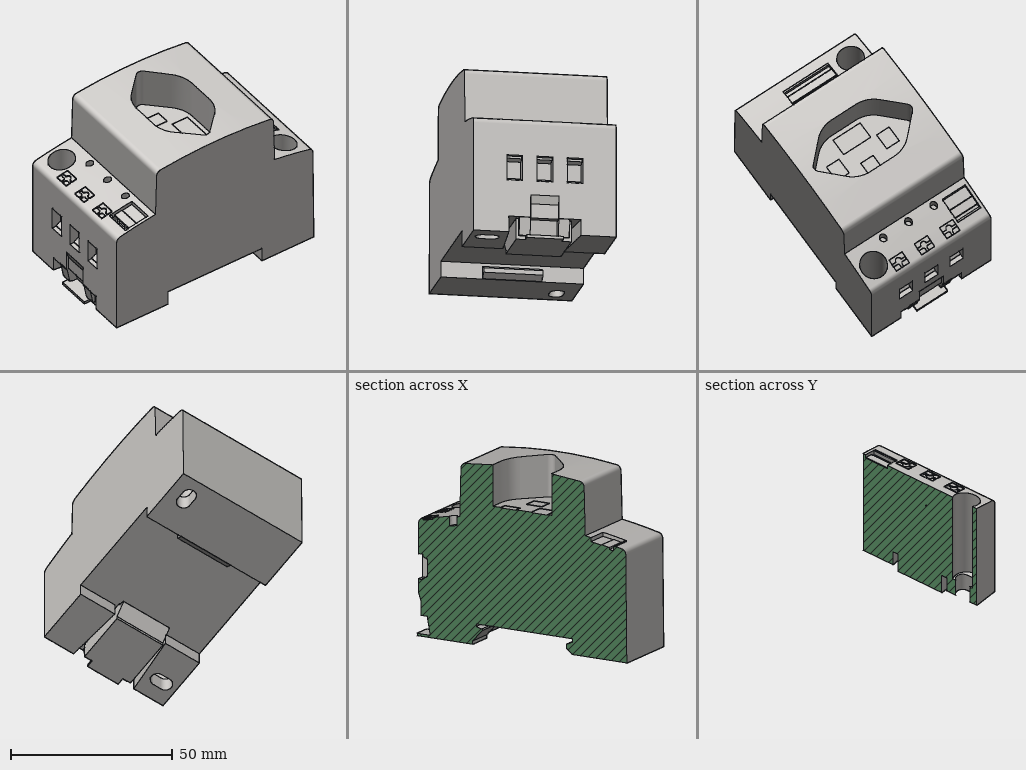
import cadquery as cq
import math


WIDTH = 45.0
FRONT_Y = -37.45
BACK_FOOT_Y = 37.6
BACK_TOP_Y = 37.2
TOWER_BASE_Y = 22.65
TOWER_TOP_Y = 22.2
CROWN_RADIUS = 162.3
TOWER_CROWN_Z = 57.5
SHOULDER_CROWN_Z = 40.5
EDGE_ROUND = 1.9

RAIL_HALF_DEPTH = 17.8
RAIL_HEIGHT = 5.05

OVERLAP = 0.75

SOCKET_HALF_LENGTH = 19.1
SOCKET_HALF_WIDTH = 10.5
SOCKET_TIP_ROUND = 2.0
SOCKET_SIDE_ROUND = 9.8
SOCKET_FLOOR_Z = 43.85
INSERT_DEPTH = 0.15
PIN_SIZE = (4.7, 5.6)
PIN_CENTRES = [(-9.4, 0), (9.4, 0), (0, -5.0)]
SHUTTER_SIZE = (10.2, 5.8)
SHUTTER_CENTRE = (0.1, 6.1)

FRONT_MOUNT = (-16.9, -30.35)
BACK_MOUNT = (16.3, 30.35)
MOUNT_BORE = 8.6
MOUNT_SEAT_Z = 6.05
MOUNT_SLOT_LENGTH = 7.5
MOUNT_SLOT_WIDTH = 4.5

FRONT_LABEL_X = (12.8, 21.4)
BACK_LABEL_X = (-7.1, 9.7)

TERMINAL_PITCH = 9.5
TERMINAL_WIDTH = 4.9
TERMINAL_X = [-TERMINAL_PITCH, 0, TERMINAL_PITCH]

CLIP_HALF_WIDTH = 8.7
CLIP_BOTTOM_Z = -1.65
CLIP_FRONT_Y = -35.3
GRIP_HALF_WIDTH = 4.45


def crown_z(crown, y):
    """Height at depth y of an arch whose highest point is at the crown."""
    return crown - CROWN_RADIUS + math.sqrt(CROWN_RADIUS**2 - y**2)


def shoulder_z(y):
    return crown_z(SHOULDER_CROWN_Z, y)


def extrude_across(outline, x_centre, width):
    """Extrude a closed list of (Y, Z) points along X, centred on x_centre."""
    return (
        cq.Workplane("YZ", origin=(x_centre, 0, 0))
        .polyline(outline)
        .close()
        .extrude(width / 2, both=True)
    )


def make_housing():
    front_mid_y = (FRONT_Y - TOWER_BASE_Y) / 2
    back_mid_y = (BACK_TOP_Y + TOWER_BASE_Y) / 2
    front_edge = (FRONT_Y, shoulder_z(FRONT_Y))
    back_edge = (BACK_TOP_Y, shoulder_z(BACK_TOP_Y))
    tower_top_z = crown_z(TOWER_CROWN_Z, TOWER_TOP_Y)
    tower_base_z = shoulder_z(TOWER_BASE_Y)
    body = (
        cq.Workplane("YZ")
        .moveTo(FRONT_Y, 0)
        .lineTo(*front_edge)
        .threePointArc((front_mid_y, shoulder_z(front_mid_y)), (-TOWER_BASE_Y, tower_base_z))
        .lineTo(-TOWER_TOP_Y, tower_top_z)
        .threePointArc((0, TOWER_CROWN_Z), (TOWER_TOP_Y, tower_top_z))
        .lineTo(TOWER_BASE_Y, tower_base_z)
        .threePointArc((back_mid_y, shoulder_z(back_mid_y)), back_edge)
        .lineTo(BACK_FOOT_Y, 0)
        .lineTo(RAIL_HALF_DEPTH, 0)
        .lineTo(RAIL_HALF_DEPTH, RAIL_HEIGHT)
        .lineTo(-RAIL_HALF_DEPTH, RAIL_HEIGHT)
        .lineTo(-RAIL_HALF_DEPTH, 0)
        .close()
        .extrude(WIDTH / 2, both=True)
    )
    tower_edges = [(-TOWER_TOP_Y, tower_top_z), (TOWER_TOP_Y, tower_top_z)]
    for y, z in [front_edge, back_edge] + tower_edges:
        body = body.edges(cq.selectors.NearestToPointSelector((0, y, z))).fillet(EDGE_ROUND)
    return body


def socket_cutter():
    """Six-sided recess with 45 degree tips, and shallow inserts in its floor."""
    side_half = SOCKET_HALF_LENGTH - SOCKET_HALF_WIDTH
    half_outline = [
        (SOCKET_HALF_LENGTH, 0),
        (side_half, SOCKET_HALF_WIDTH),
        (-side_half, SOCKET_HALF_WIDTH),
    ]
    outline = half_outline + [(-x, -y) for x, y in half_outline]
    recess = (
        cq.Workplane("XY", origin=(0, 0, SOCKET_FLOOR_Z))
        .polyline(outline)
        .close()
        .extrude(TOWER_CROWN_Z + OVERLAP - SOCKET_FLOOR_Z)
    )
    recess = recess.edges("|Z and (>X or <X)").fillet(SOCKET_TIP_ROUND)
    recess = recess.edges("|Z and (>Y or <Y)").fillet(SOCKET_SIDE_ROUND)
    floor = cq.Workplane("XY", origin=(0, 0, SOCKET_FLOOR_Z))
    pins = floor.pushPoints(PIN_CENTRES).rect(*PIN_SIZE).extrude(-INSERT_DEPTH)
    shutter = floor.center(*SHUTTER_CENTRE).rect(*SHUTTER_SIZE).extrude(-INSERT_DEPTH)
    return recess.union(pins).union(shutter)


def mount_cutter(x, y, slot_angle):
    base = cq.Workplane("XY").center(x, y)
    slot = base.slot2D(MOUNT_SLOT_LENGTH, MOUNT_SLOT_WIDTH, slot_angle).extrude(MOUNT_SEAT_Z + OVERLAP)
    bore = (
        base.workplane(offset=MOUNT_SEAT_Z)
        .circle(MOUNT_BORE / 2)
        .extrude(SHOULDER_CROWN_Z - MOUNT_SEAT_Z)
    )
    return slot.union(bore)


def label_cutter(x_left, x_right, side):
    """Label window in a shoulder (side -1 front, +1 back) with a stepped, sloping floor."""
    inner, middle, ridge, trench, outer = 24.75, 28.4, 31.3, 32.7, 33.3
    inner_depth, ridge_depth, trench_depth, lip_depth = 1.3, 1.1, 1.7, 0.2
    step_run = 0.2
    floor_steps = [
        (inner, inner_depth),
        (middle, inner_depth),
        (middle + step_run, ridge_depth),
        (ridge, ridge_depth),
        (ridge, trench_depth),
        (trench, trench_depth),
        (trench, lip_depth),
        (outer, lip_depth),
    ]
    outline = [(side * y, shoulder_z(y) - depth) for y, depth in floor_steps]
    outline += [(side * outer, SHOULDER_CROWN_Z), (side * inner, SHOULDER_CROWN_Z)]
    return extrude_across(outline, (x_left + x_right) / 2, x_right - x_left)


def test_hole_cutter(x):
    """Slightly oval blind hole whose floor bends down towards the front."""
    hole_y, half_width, half_length = -24.9, 1.1, 1.3
    back_y, bend_y, near_y = -23.4, -25.35, -26.4
    depth, bend_drop = 3.0, 0.15
    floor_outline = [
        (back_y, shoulder_z(back_y) - depth),
        (bend_y, shoulder_z(bend_y) - depth),
        (near_y, shoulder_z(near_y) - depth - bend_drop),
        (near_y, SHOULDER_CROWN_Z),
        (back_y, SHOULDER_CROWN_Z),
    ]
    hole = cq.Workplane("XY").center(x, hole_y).ellipse(half_width, half_length).extrude(SHOULDER_CROWN_Z)
    return hole.intersect(extrude_across(floor_outline, x, 2 * (half_width + OVERLAP)))


def screw_cutter(x):
    """Shallow terminal window whose floor carries a deeper T-shaped groove."""
    back_y, near_y = -31.6, -35.6
    window_depth, groove_depth = 0.3, 0.7
    bar_top_y, bar_bottom_y = -33.2, -34.05
    arch_radius, stem_half, corner_round = 1.0, 0.4, 0.6
    half = TERMINAL_WIDTH / 2

    def below_surface(depth):
        outline = [(y, shoulder_z(y) - depth) for y in (back_y, near_y)]
        outline += [(near_y, SHOULDER_CROWN_Z), (back_y, SHOULDER_CROWN_Z)]
        return extrude_across(outline, x, TERMINAL_WIDTH)

    arc_offset = corner_round * (1 - math.sqrt(0.5))
    groove = (
        cq.Workplane("XY", origin=(x, 0, 0))
        .moveTo(-half, bar_top_y)
        .lineTo(-arch_radius, bar_top_y)
        .threePointArc((0, bar_top_y + arch_radius), (arch_radius, bar_top_y))
        .lineTo(half, bar_top_y)
        .lineTo(half, bar_bottom_y)
        .lineTo(stem_half + corner_round, bar_bottom_y)
        .threePointArc(
            (stem_half + arc_offset, bar_bottom_y - arc_offset),
            (stem_half, bar_bottom_y - corner_round),
        )
        .lineTo(stem_half, near_y)
        .lineTo(-stem_half, near_y)
        .lineTo(-stem_half, bar_bottom_y - corner_round)
        .threePointArc(
            (-stem_half - arc_offset, bar_bottom_y - arc_offset),
            (-stem_half - corner_round, bar_bottom_y),
        )
        .lineTo(-half, bar_bottom_y)
        .close()
        .extrude(SHOULDER_CROWN_Z)
    )
    return below_surface(window_depth).union(groove.intersect(below_surface(groove_depth)))


def wire_entry_cutter(x):
    """Front wire opening: a straight mouth, then a funnel narrowing to its back wall."""
    mouth_bottom_z, mouth_top_z = 16.75, 24.75
    funnel_bottom_z, funnel_top_z = 17.0, 24.1
    back_bottom_z, back_top_z = 18.05, 23.4
    outside_y = FRONT_Y - OVERLAP
    mouth_y = FRONT_Y + 1.5
    back_y = FRONT_Y + 3.2
    profile = [
        (outside_y, mouth_bottom_z),
        (mouth_y, mouth_bottom_z),
        (mouth_y, funnel_bottom_z),
        (back_y, back_bottom_z),
        (back_y, back_top_z),
        (mouth_y, funnel_top_z),
        (mouth_y, mouth_top_z),
        (outside_y, mouth_top_z),
    ]
    return extrude_across(profile, x, TERMINAL_WIDTH)


def clip_channel_cutter():
    """Channel under the front foot, narrowing towards the rail."""
    front_half, rail_half = 11.4, 9.6
    corners = [
        (-front_half, FRONT_Y),
        (front_half, FRONT_Y),
        (rail_half, -RAIL_HALF_DEPTH),
        (-rail_half, -RAIL_HALF_DEPTH),
    ]
    return cq.Workplane("XY").polyline(corners).close().extrude(RAIL_HEIGHT)


def finger_recess_cutter():
    """Finger recess in the front wall above the clip."""
    top_z, slope_end_z, depth = 12.2, 9.6, 0.9
    profile = [
        (FRONT_Y, top_z),
        (FRONT_Y + depth, slope_end_z),
        (FRONT_Y + depth, RAIL_HEIGHT),
        (FRONT_Y, RAIL_HEIGHT),
    ]
    return extrude_across(profile, 0, 2 * GRIP_HALF_WIDTH)


def make_clip():
    hook_root_y, hook_root_z = -16.5, 4.4
    hook_tip_y, hook_tip_z = -14.3, 3.4
    plate_back_y, hook_foot_z = -17.9, -0.5
    hook_upper_side = [(-15.55, 4.0), (-14.5, 3.85)]
    plate_profile = [
        (CLIP_FRONT_Y, CLIP_BOTTOM_Z),
        (CLIP_FRONT_Y, RAIL_HEIGHT),
        (hook_root_y, RAIL_HEIGHT),
        (hook_root_y, hook_root_z),
        *hook_upper_side,
        (hook_tip_y, hook_tip_z),
        (plate_back_y, hook_foot_z),
        (plate_back_y, CLIP_BOTTOM_Z),
    ]
    plate = extrude_across(plate_profile, 0, 2 * CLIP_HALF_WIDTH)

    wedge_half_width, wedge_bottom_z = 7.9, -0.5
    wedge_top_y, wedge_bottom_y = -37.1, -36.1
    wedge_profile = [
        (wedge_top_y, RAIL_HEIGHT),
        (wedge_bottom_y, wedge_bottom_z),
        (CLIP_FRONT_Y + OVERLAP, wedge_bottom_z),
        (CLIP_FRONT_Y + OVERLAP, RAIL_HEIGHT),
    ]
    wedge = extrude_across(wedge_profile, 0, 2 * wedge_half_width)
    tab_half_width, tab_top_z, tab_y = 5.8, -0.75, -37.9
    grip_depth = 2.8
    grip_profile = [
        (wedge_top_y - OVERLAP, RAIL_HEIGHT),
        (wedge_top_y + grip_depth, RAIL_HEIGHT),
        (wedge_bottom_y + grip_depth, tab_top_z),
        (wedge_top_y - OVERLAP, tab_top_z),
    ]
    grip = extrude_across(grip_profile, 0, 2 * GRIP_HALF_WIDTH)
    tab_profile = [
        (tab_y, CLIP_BOTTOM_Z),
        (tab_y, tab_top_z),
        (CLIP_FRONT_Y + OVERLAP, tab_top_z),
        (CLIP_FRONT_Y + OVERLAP, CLIP_BOTTOM_Z),
    ]
    tab = extrude_across(tab_profile, 0, 2 * tab_half_width)
    return plate.union(wedge).cut(grip).union(tab)


def make_back_hook():
    """Fixed nose on the back foot that holds the far edge of the rail."""
    half_width, nose_y = 9.35, 15.8
    root_top_z, root_bottom_z = 4.1, 0.15
    nose_top_z, nose_bottom_z = 3.1, 1.65
    anchor_y = RAIL_HALF_DEPTH + OVERLAP
    profile = [
        (anchor_y, root_top_z),
        (RAIL_HALF_DEPTH, root_top_z),
        (nose_y, nose_top_z),
        (nose_y, nose_bottom_z),
        (RAIL_HALF_DEPTH, root_bottom_z),
        (anchor_y, root_bottom_z),
    ]
    return extrude_across(profile, 0, 2 * half_width)


result = make_housing().cut(socket_cutter())
result = result.cut(mount_cutter(*FRONT_MOUNT, 0)).cut(mount_cutter(*BACK_MOUNT, 90))
result = result.cut(label_cutter(*FRONT_LABEL_X, -1)).cut(label_cutter(*BACK_LABEL_X, 1))
for terminal_x in TERMINAL_X:
    result = result.cut(test_hole_cutter(terminal_x))
    result = result.cut(screw_cutter(terminal_x))
    result = result.cut(wire_entry_cutter(terminal_x))
result = result.cut(clip_channel_cutter()).cut(finger_recess_cutter())
result = result.union(make_clip()).union(make_back_hook())